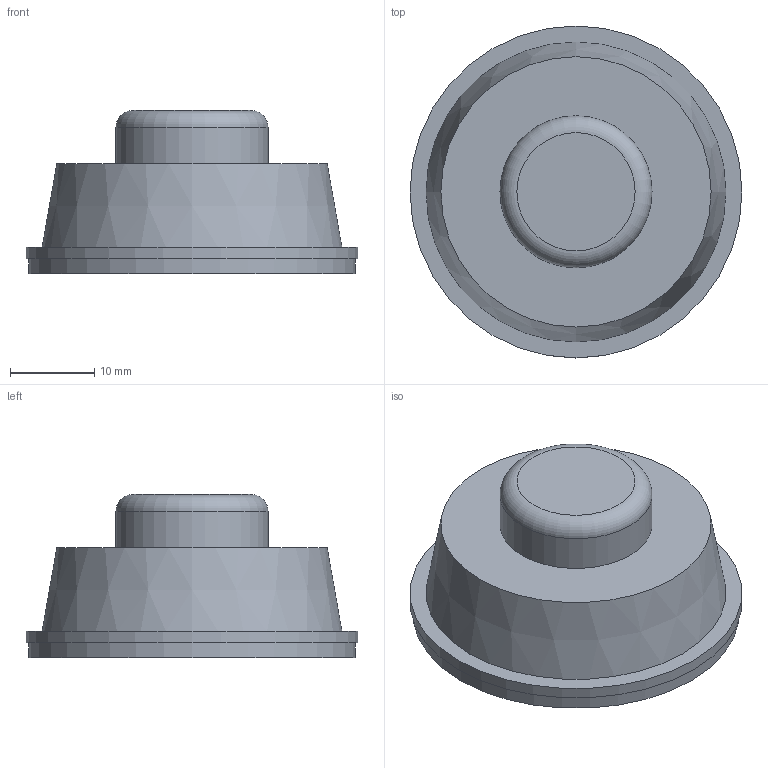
import cadquery as cq

base_diameter = 38.6
flange_diameter = 39.3
cone_bottom_diameter = 35.5
cone_top_diameter = 32.0
knob_diameter = 18.0

base_height = 1.75
flange_height = 1.35
cone_height = 9.9
knob_height = 6.3

knob_edge_radius = 2.0

flange_bottom = base_height
cone_bottom = flange_bottom + flange_height
knob_bottom = cone_bottom + cone_height


def disc(diameter, height, bottom):
    """Solid disc on the Z axis, standing on the given level."""
    return cq.Workplane("XY").workplane(offset=bottom).circle(diameter / 2).extrude(height)


def tapered_body():
    """Truncated cone between the flange and the knob."""
    cone = cq.Solid.makeCone(
        cone_bottom_diameter / 2,
        cone_top_diameter / 2,
        cone_height,
        pnt=cq.Vector(0, 0, cone_bottom),
    )
    return cq.Workplane("XY").add(cone)


def knob():
    """Cylindrical knob with a rounded top edge."""
    return disc(knob_diameter, knob_height, knob_bottom).faces(">Z").edges().fillet(knob_edge_radius)


base = disc(base_diameter, base_height, 0)
flange = disc(flange_diameter, flange_height, flange_bottom)
result = base.union(flange).union(tapered_body()).union(knob())